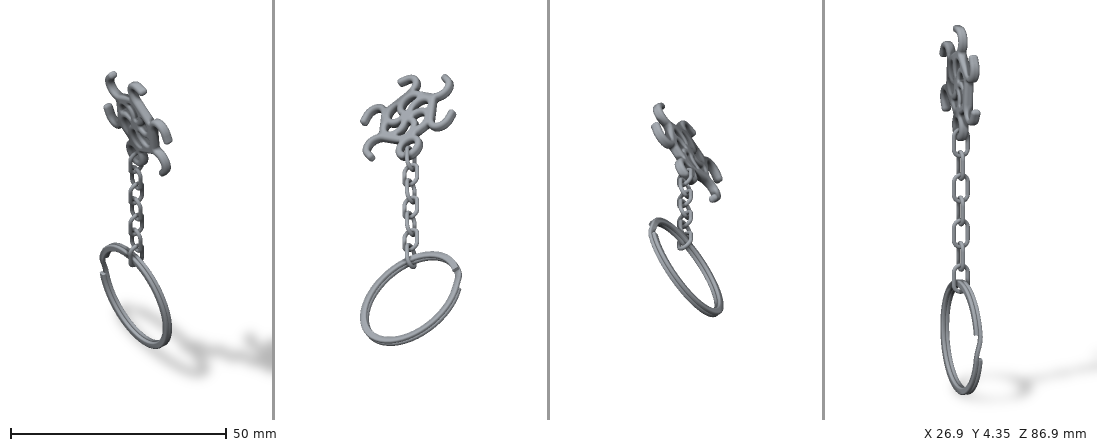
import cadquery as cq
import math


TOTAL_HEIGHT = 86.9

ARM_COUNT = 6
ARM_PITCH = 360 / ARM_COUNT
PENDANT_X = 0.7
PENDANT_THICKNESS = 2.2
BAR_WIDTH = 1.65
EDGE_ROUND = 0.74
SIDE_DISTANCE = 7.3
SIDE_ANGLE = 66.0
HOOK_CENTER = cq.Vector(0.22, 10.1)
HOOK_RADIUS = 2.5
HOOK_TIP_LENGTH = 2.35
OUTER_CORNER_RADIUS = 0.5
INNER_CORNER_RADIUS = 2.95
EYE_ARM = 3
EYE_CENTER = cq.Vector(0.3, 10.2)
EYE_RADIUS = 3.4
EYE_HOLE_CENTER = cq.Vector(0.35, 10.1)
EYE_HOLE_RADIUS = 1.7
WINDOW_CENTER = cq.Vector(-0.95, 3.65)
WINDOW_RADIUS = 2.0
WINDOW_CORNER_RADIUS = 0.35

LINK_WIDTH = 4.35
LINK_CLEARANCE = 0.04
LINK_HEIGHT = 7.2
LINK_WIRE = 0.95
JOINED_LINKS = 6
LINK_PITCH = 5.4
END_LINK_PITCH = LINK_HEIGHT - 2 * LINK_WIRE - LINK_CLEARANCE
TOP_LINK_Z = 59.5

RING_DIAMETER = 26.85
RING_BAR = 1.65
RING_WIRE_THICKNESS = 0.9
RING_WIRE_ROUND = 0.35
TURN_PITCH = 0.95
RING_MIDDLE_Y = -0.22
JOG_START = 167.0
JOG_END = 193.0

BEND_OUTER = HOOK_RADIUS + BAR_WIDTH / 2
BEND_INNER = HOOK_RADIUS - BAR_WIDTH / 2
PENDANT_Z = TOTAL_HEIGHT - HOOK_CENTER.y - BEND_OUTER
RING_RADIUS = (RING_DIAMETER - RING_BAR) / 2
RING_CENTER_Z = RING_DIAMETER / 2


def polar(radius, angle):
    """Plane vector of the given length and direction in degrees."""
    return cq.Vector(radius * math.cos(math.radians(angle)), radius * math.sin(math.radians(angle)))


def turned(point, angle):
    """The point turned about the pendant centre by an angle in degrees."""
    return polar(point.Length, math.degrees(math.atan2(point.y, point.x)) + angle)


def mid_arc(center, start, end):
    """Middle point of the shorter arc from start to end."""
    return center + ((start - center) + (end - center)).normalized() * (start - center).Length


def corner_center(side_angle, radius, center, distance, direction):
    """Centre of an arc that is tangent to a plate side and lies at a distance from another centre.

    The direction (+1 or -1) picks the solution, counted along the side clockwise about the plate.
    """
    normal = polar(1, side_angle)
    along = polar(direction, side_angle - 90)
    rise = SIDE_DISTANCE + radius - center.dot(normal)
    return center + normal * rise + along * math.sqrt(distance**2 - rise**2)


def outer_corner(side_angle, bend_center, bend_radius, direction):
    """Points (on the side, middle, on the bend) of the arc from a side to the outside of a hook or the eye."""
    distance = bend_radius + OUTER_CORNER_RADIUS
    center = corner_center(side_angle, OUTER_CORNER_RADIUS, bend_center, distance, direction)
    on_side = center - polar(OUTER_CORNER_RADIUS, side_angle)
    on_bend = bend_center + (center - bend_center).normalized() * bend_radius
    return on_side, mid_arc(center, on_side, on_bend), on_bend


def inner_corner():
    """Points (on the bend, middle, on the side) of the arc from the inside of the bend to the next side."""
    distance = INNER_CORNER_RADIUS - BEND_INNER
    center = corner_center(SIDE_ANGLE, INNER_CORNER_RADIUS, HOOK_CENTER, distance, 1)
    on_bend = HOOK_CENTER + (HOOK_CENTER - center).normalized() * BEND_INNER
    on_side = center - polar(INNER_CORNER_RADIUS, SIDE_ANGLE)
    return on_bend, mid_arc(center, on_bend, on_side), on_side


def hook_segments():
    """Outline of one hook, clockwise: each segment lists the points after its start."""
    on_side, corner_middle, on_bend = outer_corner(SIDE_ANGLE + ARM_PITCH, HOOK_CENTER, BEND_OUTER, -1)
    bend_top = HOOK_CENTER + polar(BEND_OUTER, 90)
    inner_top = HOOK_CENTER + polar(BEND_INNER, 90)
    tip = cq.Vector(HOOK_TIP_LENGTH, 0)
    inner_bend, inner_middle, next_side = inner_corner()
    return [
        [on_side],
        [corner_middle, on_bend],
        [mid_arc(HOOK_CENTER, on_bend, bend_top), bend_top],
        [bend_top + tip],
        [inner_top + tip],
        [inner_top],
        [mid_arc(HOOK_CENTER, inner_top, inner_bend), inner_bend],
        [inner_middle, next_side],
    ]


def eye_segments():
    """Outline of the closed eye, which takes the place of one hook."""
    on_side, corner_middle, on_bend = outer_corner(SIDE_ANGLE + ARM_PITCH, EYE_CENTER, EYE_RADIUS, -1)
    next_side, next_middle, next_bend = outer_corner(SIDE_ANGLE, EYE_CENTER, EYE_RADIUS, 1)
    return [
        [on_side],
        [corner_middle, on_bend],
        [EYE_CENTER + polar(EYE_RADIUS, 90), next_bend],
        [next_middle, next_side],
    ]


def pendant_outline():
    segments = []
    for index in range(ARM_COUNT):
        arm = eye_segments() if index == EYE_ARM else hook_segments()
        segments += [[turned(point, -index * ARM_PITCH) for point in segment] for segment in arm]
    outline = cq.Workplane("XZ").moveTo(segments[0][0].x, segments[0][0].y)
    for segment in segments[1:]:
        if len(segment) == 1:
            outline = outline.lineTo(segment[0].x, segment[0].y)
        else:
            outline = outline.threePointArc(*[(point.x, point.y) for point in segment])
    return outline.close()


def disc(center, radius):
    """Cylinder across the pendant thickness."""
    return (
        cq.Workplane("XZ").center(center.x, center.y).circle(radius)
        .extrude(PENDANT_THICKNESS / 2, both=True)
    )


def window():
    """Opening between two spokes: a disc that leaves a spoke of constant width beside the next window."""
    spoke_side = disc(turned(WINDOW_CENTER, ARM_PITCH), WINDOW_RADIUS + BAR_WIDTH)
    return disc(WINDOW_CENTER, WINDOW_RADIUS).cut(spoke_side).edges("|Y").fillet(WINDOW_CORNER_RADIUS)


def hook_tips():
    """Middle points of the ends of the five hooks."""
    tip = HOOK_CENTER + cq.Vector(HOOK_TIP_LENGTH, HOOK_RADIUS)
    return [turned(tip, -index * ARM_PITCH) for index in range(ARM_COUNT) if index != EYE_ARM]


def make_pendant():
    plate = pendant_outline().extrude(PENDANT_THICKNESS / 2, both=True)
    for point in hook_tips():
        box = cq.selectors.BoxSelector(
            (point.x - BAR_WIDTH, -PENDANT_THICKNESS, point.y - BAR_WIDTH),
            (point.x + BAR_WIDTH, PENDANT_THICKNESS, point.y + BAR_WIDTH),
        )
        plate = plate.edges("|Y").edges(box).fillet(EDGE_ROUND)
    for index in range(ARM_COUNT):
        plate = plate.cut(window().rotate((0, 0, 0), (0, 1, 0), index * ARM_PITCH))
    plate = plate.cut(disc(turned(EYE_HOLE_CENTER, -EYE_ARM * ARM_PITCH), EYE_HOLE_RADIUS))
    plate = plate.faces("<Y or >Y").edges().fillet(EDGE_ROUND)
    return plate.translate((PENDANT_X, 0, PENDANT_Z))


def make_link(index, center_z):
    """One link; those with an even index lie in the YZ plane and the others in the XZ plane."""
    bend_radius = (LINK_WIDTH - LINK_WIRE) / 2
    half_straight = (LINK_HEIGHT - LINK_WIDTH) / 2
    path = (
        cq.Workplane("XZ")
        .moveTo(bend_radius, -half_straight)
        .lineTo(bend_radius, half_straight)
        .threePointArc((0, half_straight + bend_radius), (-bend_radius, half_straight))
        .lineTo(-bend_radius, -half_straight)
        .threePointArc((0, -half_straight - bend_radius), (bend_radius, -half_straight))
        .close()
    )
    link = (
        cq.Workplane("XY", origin=(bend_radius, 0, -half_straight))
        .circle(LINK_WIRE / 2)
        .sweep(path)
    )
    quarter_turn = 90 if index % 2 == 0 else 0
    return link.rotate((0, 0, 0), (0, 0, 1), quarter_turn).translate((0, 0, center_z))


def make_chain():
    chain = make_link(0, TOP_LINK_Z)
    for index in range(1, JOINED_LINKS):
        chain = chain.union(make_link(index, TOP_LINK_Z - index * LINK_PITCH))
    return chain


def make_end_link():
    """Loose link that carries the split ring."""
    last_joined_z = TOP_LINK_Z - (JOINED_LINKS - 1) * LINK_PITCH
    return make_link(JOINED_LINKS, last_joined_z - END_LINK_PITCH)


def ring_point(angle, y):
    flat = polar(RING_RADIUS, angle)
    return cq.Vector(flat.x, y, RING_CENTER_Z + flat.y)


def ring_direction(angle):
    """Direction of the wire at an angle of the ring."""
    flat = polar(1, angle + 90)
    return cq.Vector(flat.x, 0, flat.y)


def wire_section(center, direction):
    """Rounded wire section at a point of the ring, across the given direction."""
    plane = cq.Plane(origin=center.toTuple(), xDir=(0, 1, 0), normal=direction.toTuple())
    outline = cq.Sketch().rect(RING_WIRE_THICKNESS, RING_BAR).vertices().fillet(RING_WIRE_ROUND)
    return cq.Workplane(plane).placeSketch(outline)


def ring_turn(y):
    """One turn from the end of the jog round to its start."""
    wire = cq.Sketch().rect(RING_BAR, RING_WIRE_THICKNESS).vertices().fillet(RING_WIRE_ROUND)
    return (
        cq.Workplane("XY")
        .placeSketch(wire.moved(cq.Location(cq.Vector(RING_RADIUS, y, 0))))
        .revolve(JOG_START + 360 - JOG_END, (0, 0, 0), (0, -1, 0))
        .rotate((0, 0, 0), (0, 1, 0), -JOG_END)
        .translate((0, 0, RING_CENTER_Z))
    )


def ring_jog(front_y, back_y):
    """S-shaped stretch of wire that leads from the front turn to the back turn."""
    start = ring_point(JOG_START, front_y)
    middle = ring_point((JOG_START + JOG_END) / 2, (front_y + back_y) / 2)
    end = ring_point(JOG_END, back_y)
    start_direction = ring_direction(JOG_START)
    path = cq.Edge.makeSpline([start, middle, end], tangents=[start_direction, ring_direction(JOG_END)])
    return wire_section(start, start_direction).sweep(cq.Workplane(cq.Wire.assembleEdges([path])))


def make_split_ring():
    front_y = RING_MIDDLE_Y - TURN_PITCH / 2
    back_y = RING_MIDDLE_Y + TURN_PITCH / 2
    return ring_turn(front_y).union(ring_jog(front_y, back_y)).union(ring_turn(back_y))


pendant = make_pendant()
chain = make_chain()
end_link = make_end_link()
split_ring = make_split_ring()

bodies = [pendant, chain, end_link, split_ring]
result = cq.Compound.makeCompound([body.solids().val() for body in bodies])